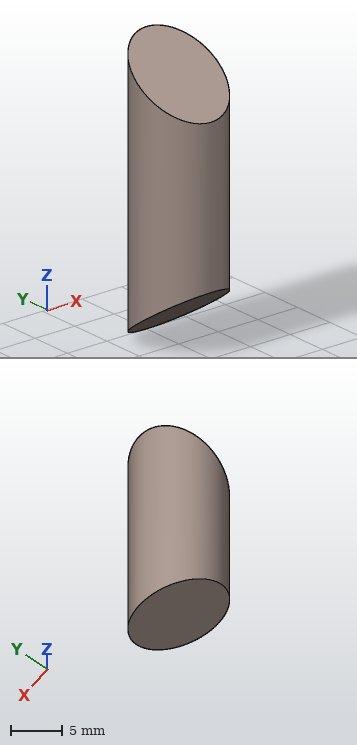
import cadquery as cq
import math

diameter = 10.0
back_length = 32.0
end_slope = 35.0

radius = diameter / 2
end_drop = diameter * math.tan(math.radians(end_slope))
back_half = back_length / 2
front_half = back_half - end_drop


def round_bar():
    """Cylinder about Z, centred on the origin."""
    return cq.Workplane("XY").circle(radius).extrude(back_half, both=True)


def mitre_envelope():
    """Trapezoidal block along X whose sloped faces form the two ends."""
    return (
        cq.Workplane("YZ")
        .moveTo(radius, -back_half)
        .lineTo(radius, back_half)
        .lineTo(-radius, front_half)
        .lineTo(-radius, -front_half)
        .close()
        .extrude(diameter, both=True)
    )


result = round_bar().intersect(mitre_envelope())